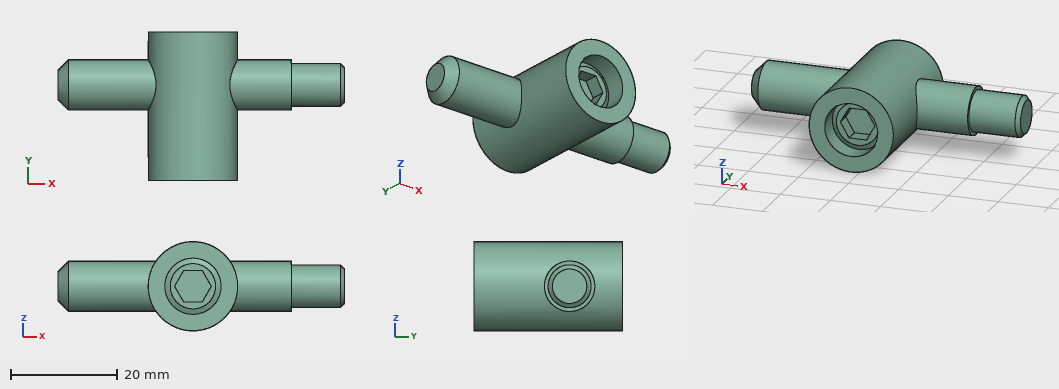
import cadquery as cq
import math

body_diameter = 16.85
body_length = 28.0
pin_to_back_face = 10.0
pin_to_front_face = body_length - pin_to_back_face

pin_length = 54.0
pin_left_reach = 25.45
pin_diameter = 9.5
shoulder_from_left = 43.95
tip_diameter = 8.1
left_chamfer = 2.0
tip_chamfer = 0.8

bore_diameter = 10.6
screw_recess = 3.6
screw_chamfer_width = 1.0
screw_chamfer_angle = 30.0
screw_chamfer_depth = screw_chamfer_width * math.tan(math.radians(screw_chamfer_angle))
hex_across_flats = 6.0
hex_depth = 3.0


def cylinder_along_x(diameter, start, length):
    return cq.Workplane("YZ", origin=(start, 0, 0)).circle(diameter / 2).extrude(length)


def make_body():
    return cq.Workplane("XZ", origin=(0, pin_to_back_face, 0)).circle(body_diameter / 2).extrude(body_length)


def make_pin():
    tip_length = pin_length - shoulder_from_left
    shoulder_x = shoulder_from_left - pin_left_reach
    main = cylinder_along_x(pin_diameter, -pin_left_reach, shoulder_from_left)
    main = main.faces("<X").chamfer(left_chamfer)
    tip = cylinder_along_x(tip_diameter, shoulder_x, tip_length)
    tip = tip.faces(">X").chamfer(tip_chamfer)
    return main.union(tip)


def make_bore():
    """Void in front of the screw, including the groove around its chamfered end."""
    bore_depth = screw_recess + screw_chamfer_depth
    bore = cq.Workplane("XZ", origin=(0, -pin_to_front_face + bore_depth, 0))
    bore = bore.circle(bore_diameter / 2).extrude(bore_depth)
    screw_end = cq.Workplane("XZ", origin=(0, -pin_to_front_face + bore_depth, 0))
    screw_end = screw_end.circle(bore_diameter / 2).workplane(offset=screw_chamfer_depth)
    screw_end = screw_end.circle(bore_diameter / 2 - screw_chamfer_width).loft()
    return bore.cut(screw_end)


def make_hex_socket():
    socket_floor_y = -pin_to_front_face + screw_recess + hex_depth
    across_corners = hex_across_flats / math.cos(math.pi / 6)
    socket = cq.Workplane("XZ", origin=(0, socket_floor_y, 0))
    return socket.polygon(6, across_corners).extrude(hex_depth)


result = make_body().union(make_pin()).cut(make_bore()).cut(make_hex_socket())